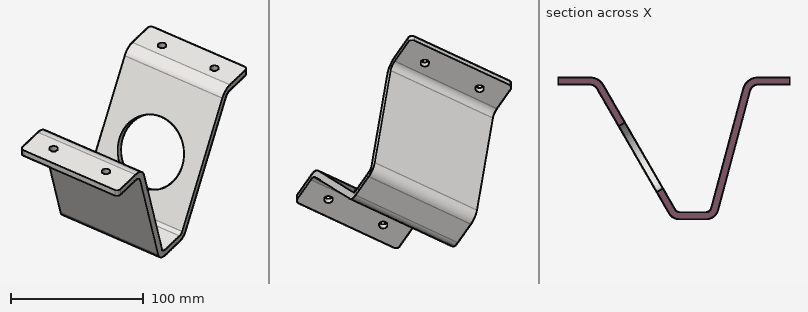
import cadquery as cq
import math


width = 88.9
length = 174.625
thickness = 5.54
floor_depth = 101.6
height = floor_depth + thickness

rear_bend_angle = math.radians(60)
front_bend_angle = math.radians(75)
flange_inner_radius = 6.35
flange_outer_radius = flange_inner_radius + thickness
floor_inner_radius = 3.97
floor_outer_radius = floor_inner_radius + thickness

flange_flat = 23.8
corner_radius = 3.175

mount_hole_diameter = 6.35
mount_hole_spacing_x = 47.625
mount_hole_edge_distance = 14.2875
mount_hole_spacing_y = length - 2 * mount_hole_edge_distance

opening_diameter = 57.15
opening_height = 48.2


def leg_length(angle):
    """Straight length of a leg between its two bends."""
    bend_drop = (flange_outer_radius + floor_inner_radius) * (1 - math.cos(angle))
    return (floor_depth - bend_drop) / math.sin(angle)


def leg_run(angle):
    """Distance in Y from the start of the flange bend to the end of the floor bend."""
    bend_run = (flange_outer_radius + floor_inner_radius) * math.sin(angle)
    return bend_run + leg_length(angle) * math.cos(angle)


def flange_bend_point(side, radius, angle):
    """Point on a flange bend; side is +1 for the rear and -1 for the front."""
    centre_y = side * (length / 2 - flange_flat)
    centre_z = height - flange_outer_radius
    return (centre_y - side * radius * math.sin(angle), centre_z + radius * math.cos(angle))


def floor_bend_point(side, radius, angle, bend_angle):
    """Point on a floor bend, at an angle measured from its lowest point."""
    centre_y = side * (length / 2 - flange_flat - leg_run(bend_angle))
    return (centre_y + side * radius * math.sin(angle), floor_outer_radius - radius * math.cos(angle))


def add_surface(outline, start_side, start_angle, end_angle, flange_radius, floor_radius):
    """Trace one face of the sheet from a flange bend, down and across the floor, to the other flange bend."""
    end_side = -start_side
    return (
        outline
        .lineTo(*flange_bend_point(start_side, flange_radius, 0))
        .threePointArc(
            flange_bend_point(start_side, flange_radius, start_angle / 2),
            flange_bend_point(start_side, flange_radius, start_angle),
        )
        .lineTo(*floor_bend_point(start_side, floor_radius, start_angle, start_angle))
        .threePointArc(
            floor_bend_point(start_side, floor_radius, start_angle / 2, start_angle),
            floor_bend_point(start_side, floor_radius, 0, start_angle),
        )
        .lineTo(*floor_bend_point(end_side, floor_radius, 0, end_angle))
        .threePointArc(
            floor_bend_point(end_side, floor_radius, end_angle / 2, end_angle),
            floor_bend_point(end_side, floor_radius, end_angle, end_angle),
        )
        .lineTo(*flange_bend_point(end_side, flange_radius, end_angle))
        .threePointArc(
            flange_bend_point(end_side, flange_radius, end_angle / 2),
            flange_bend_point(end_side, flange_radius, 0),
        )
    )


def make_bent_sheet():
    rear_end = length / 2
    front_end = -length / 2
    flange_underside = height - thickness
    outline = cq.Workplane("YZ").moveTo(rear_end, height)
    outline = add_surface(
        outline, 1, rear_bend_angle, front_bend_angle, flange_outer_radius, floor_inner_radius
    )
    outline = outline.lineTo(front_end, height).lineTo(front_end, flange_underside)
    outline = add_surface(
        outline, -1, front_bend_angle, rear_bend_angle, flange_inner_radius, floor_outer_radius
    )
    outline = outline.lineTo(rear_end, flange_underside).close()
    return outline.extrude(width / 2, both=True)


def round_flange_corners(sheet):
    return sheet.edges("|Z").fillet(corner_radius)


def cut_mount_holes(sheet):
    holes = (
        cq.Workplane("XY", origin=(0, 0, height))
        .rarray(mount_hole_spacing_x, mount_hole_spacing_y, 2, 2)
        .circle(mount_hole_diameter / 2)
        .extrude(-thickness)
    )
    return sheet.cut(holes)


def cut_opening(sheet):
    """Cut the round opening square through the rear leg."""
    leg_top_y, leg_top_z = flange_bend_point(1, flange_outer_radius, rear_bend_angle)
    centre_y = leg_top_y - (leg_top_z - opening_height) / math.tan(rear_bend_angle)
    leg_face = cq.Plane(
        origin=(0, centre_y, opening_height),
        xDir=(1, 0, 0),
        normal=(0, -math.sin(rear_bend_angle), math.cos(rear_bend_angle)),
    )
    opening = cq.Workplane(leg_face).circle(opening_diameter / 2).extrude(-thickness)
    return sheet.cut(opening)


bracket = make_bent_sheet()
bracket = round_flange_corners(bracket)
bracket = cut_mount_holes(bracket)
bracket = cut_opening(bracket)

result = bracket